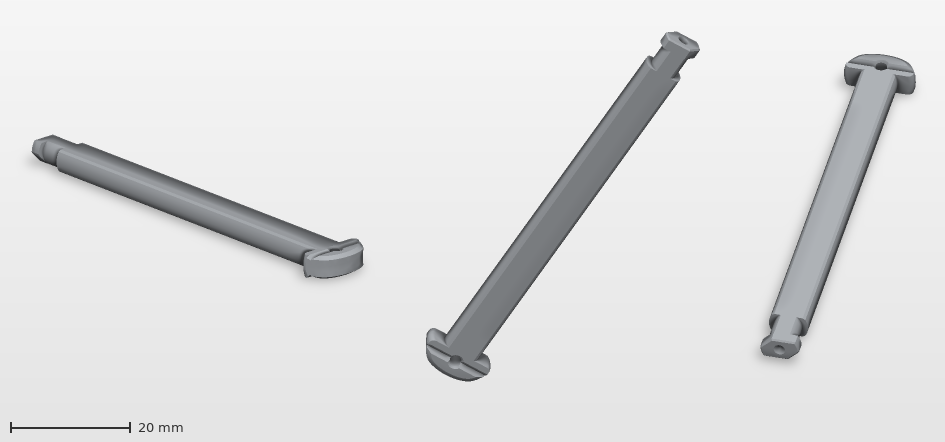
import cadquery as cq
import math

total_length = 75.62
thickness = 4.0
half_thickness = thickness / 2

tongue_length = 2.0
tongue_tip_chamfer = 0.25
neck_diameter = 4.8
shoulder_x = 6.45
tongue_bevel_start = 0.12
tongue_bevel_angle = 30.0

drill_diameter = 2.0
drill_point_angle = 90.0

bar_diameter = 6.7
bar_chamfer_width = 0.45
bar_chamfer_height = 0.3

head_x = 70.55
head_diameter = 12.25
head_back_fillet = 0.9
head_rim_x = 71.65
dome_flank_x = 73.0
dome_flank_y = 5.4
dome_shoulder_x = 74.45
dome_shoulder_y = 4.3
dome_nose_x = 75.27
dome_nose_y = 2.65
dome_chamfer_width = 0.8
dome_chamfer_height = 0.5

groove_x = 72.37
groove_depth = groove_x - head_rim_x
hole_x = groove_x
hole_diameter = 2.0
hole_chamfer = 0.35

clearance = 1.0


def slab(x_start, x_end):
    """Full-thickness plate that flattens round stock on top and bottom."""
    length = x_end - x_start
    plate = cq.Workplane("XY").box(length, 2 * head_diameter, thickness)
    return plate.translate((x_start + length / 2, 0, 0))


def rod(diameter, x_start, x_end):
    """Round stock along X."""
    return cq.Workplane("YZ", origin=(x_start, 0, 0)).circle(diameter / 2).extrude(x_end - x_start)


def make_bar():
    """Round bar with flats; its corners are chamfered unequally."""
    radius = bar_diameter / 2
    corner_z = half_thickness - bar_chamfer_height
    corner_y = math.sqrt(radius**2 - corner_z**2)
    flat_y = corner_y - bar_chamfer_width
    return (
        cq.Workplane("YZ", origin=(shoulder_x, 0, 0))
        .moveTo(-flat_y, half_thickness)
        .lineTo(flat_y, half_thickness)
        .lineTo(corner_y, corner_z)
        .threePointArc((radius, 0), (corner_y, -corner_z))
        .lineTo(flat_y, -half_thickness)
        .lineTo(-flat_y, -half_thickness)
        .lineTo(-corner_y, -corner_z)
        .threePointArc((-radius, 0), (-corner_y, corner_z))
        .close()
        .extrude(head_x + clearance - shoulder_x)
    )


def tongue_corner_cutter():
    """Removes the +Y +Z corner: a bevel, then a 45 degree face tangent to the neck."""
    bar_radius = bar_diameter / 2
    tangent_sum = neck_diameter / 2 * math.sqrt(2)
    start_y = math.sqrt(bar_radius**2 - tongue_bevel_start**2)
    start_z = -tongue_bevel_start
    slope = math.tan(math.radians(tongue_bevel_angle))
    rise = (start_y + start_z - tangent_sum) / (slope - 1)
    meet_y = start_y - slope * rise
    meet_z = start_z + rise
    outer = bar_radius + clearance
    return (
        cq.Workplane("YZ")
        .polyline(
            [
                (start_y, start_z),
                (meet_y, meet_z),
                (tangent_sum - outer, outer),
                (outer, outer),
                (outer, start_z),
            ]
        )
        .close()
        .extrude(tongue_length)
    )


def make_tongue():
    """Tongue with two opposite corners cut so it can turn into a keyed seat."""
    cutter = tongue_corner_cutter()
    opposite_cutter = cutter.rotate((0, 0, 0), (1, 0, 0), 180)
    return (
        rod(bar_diameter, 0, tongue_length)
        .intersect(slab(0, tongue_length))
        .cut(cutter)
        .cut(opposite_cutter)
        .faces("<X")
        .chamfer(tongue_tip_chamfer)
    )


def make_neck():
    """Thinner round neck with the same top and bottom flats as the bar."""
    return rod(neck_diameter, tongue_length, shoulder_x).intersect(slab(tongue_length, shoulder_x))


def make_disc():
    """Round plate at the rear of the head with a rounded back rim."""
    return rod(head_diameter, head_x, head_rim_x).faces("<X").edges().fillet(head_back_fillet)


def make_dome():
    """Blunt nose with a smooth curved outline and chamfered top and bottom edges."""
    rim_y = head_diameter / 2
    half_outline = [
        (dome_flank_x, dome_flank_y),
        (dome_shoulder_x, dome_shoulder_y),
        (dome_nose_x, dome_nose_y),
    ]
    mirrored_outline = [(x, -y) for x, y in reversed(half_outline)]
    outline = half_outline + [(total_length, 0)] + mirrored_outline + [(head_rim_x, -rim_y)]
    dome = (
        cq.Workplane("XY", origin=(0, 0, -half_thickness))
        .moveTo(head_rim_x, rim_y)
        .spline(outline, includeCurrent=True)
        .close()
        .extrude(thickness)
    )
    dome = dome.faces("|Z").edges("not |Y").chamfer(dome_chamfer_height, dome_chamfer_width)
    return dome.intersect(rod(head_diameter, head_rim_x, total_length))


def make_head():
    """Disc and dome joined, grooved on top and bottom."""
    head = make_disc().intersect(slab(head_x, head_rim_x)).union(make_dome())
    for side in (1, -1):
        head = head.cut(groove_cutter(side))
    return head


def groove_cutter(side):
    """90 degree V groove along Y in the top (side = 1) or bottom (side = -1) of the head."""
    return (
        cq.Workplane("XZ")
        .polyline(
            [
                (groove_x, side * (half_thickness - groove_depth)),
                (groove_x - groove_depth - clearance, side * (half_thickness + clearance)),
                (groove_x + groove_depth + clearance, side * (half_thickness + clearance)),
            ]
        )
        .close()
        .extrude(head_diameter, both=True)
    )


def cone(base_radius, height, base, direction):
    """Pointed cone with its base centred on a point."""
    solid = cq.Solid.makeCone(base_radius, 0, height, cq.Vector(*base), cq.Vector(*direction))
    return cq.Workplane(obj=solid)


def drill_cutter():
    """Conical centre drilling in the tip."""
    depth = drill_diameter / 2 / math.tan(math.radians(drill_point_angle / 2))
    return cone(drill_diameter / 2, depth, (0, 0, 0), (1, 0, 0))


def cross_hole_cutter():
    """Vertical hole through the head, chamfered at both ends."""
    mouth_radius = hole_diameter / 2 + hole_chamfer
    cutter = cq.Workplane("XY").circle(hole_diameter / 2).extrude(thickness, both=True)
    for side in (1, -1):
        mouth = (0, 0, side * half_thickness)
        cutter = cutter.union(cone(mouth_radius, mouth_radius, mouth, (0, 0, -side)))
    return cutter.translate((hole_x, 0, 0))


result = make_bar().union(make_neck()).union(make_tongue()).union(make_head())
result = result.cut(drill_cutter()).cut(cross_hole_cutter())